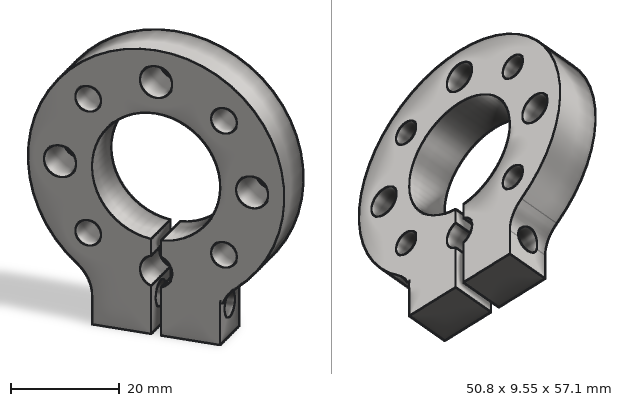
import cadquery as cq
import math

height = 57.1
disc_diameter = 50.75
thickness = 9.55
bore_diameter = 25.35
tab_width = 25.35
fillet_radius = 7.6
slit_width = 1.95
bolt_circle_radius = 19.0
large_hole_diameter = 6.35
small_hole_diameter = 5.1
clamp_hole_diameter = 5.1
clamp_hole_height = 6.35
spotface_diameter = 10.4

disc_radius = disc_diameter / 2
half_tab = tab_width / 2
tab_bottom = disc_radius - height
clamp_hole_z = tab_bottom + clamp_hole_height

fillet_x = half_tab + fillet_radius
fillet_z = -math.sqrt((disc_radius + fillet_radius) ** 2 - fillet_x ** 2)

tangent_ratio = disc_radius / (disc_radius + fillet_radius)
tangent_x = fillet_x * tangent_ratio
tangent_z = fillet_z * tangent_ratio

fillet_half_angle = math.atan2(-fillet_z, fillet_x) / 2
fillet_mid_x = fillet_x - fillet_radius * math.cos(fillet_half_angle)
fillet_mid_z = fillet_z + fillet_radius * math.sin(fillet_half_angle)


def clamp_plate():
    """Disc blended into the clamping tab below it."""
    return (
        cq.Workplane("XZ")
        .moveTo(-half_tab, tab_bottom)
        .lineTo(half_tab, tab_bottom)
        .lineTo(half_tab, fillet_z)
        .threePointArc((fillet_mid_x, fillet_mid_z), (tangent_x, tangent_z))
        .threePointArc((0, disc_radius), (-tangent_x, tangent_z))
        .threePointArc((-fillet_mid_x, fillet_mid_z), (-half_tab, fillet_z))
        .close()
        .extrude(thickness / 2, both=True)
    )


def bore():
    return cq.Workplane("XZ").circle(bore_diameter / 2).extrude(thickness / 2, both=True)


def bolt_holes(diameter, start_angle):
    """Four through holes evenly spaced on the bolt circle."""
    return (
        cq.Workplane("XZ")
        .polarArray(bolt_circle_radius, start_angle, 360, 4)
        .circle(diameter / 2)
        .extrude(thickness / 2, both=True)
    )


def slit():
    """Gap from the bore to the lower end of the tab."""
    return (
        cq.Workplane("XY", origin=(0, 0, tab_bottom))
        .rect(slit_width, thickness)
        .extrude(-tab_bottom)
    )


def clamp_hole():
    """Screw hole across both halves of the tab."""
    return (
        cq.Workplane("YZ", origin=(0, 0, clamp_hole_z))
        .circle(clamp_hole_diameter / 2)
        .extrude(disc_radius, both=True)
    )


def spotface():
    """Screw seat cut into the right-hand fillet, flush with the tab side."""
    return (
        cq.Workplane("YZ", origin=(half_tab, 0, clamp_hole_z))
        .circle(spotface_diameter / 2)
        .extrude(disc_radius - half_tab)
    )


result = (
    clamp_plate()
    .cut(bore())
    .cut(bolt_holes(large_hole_diameter, 0))
    .cut(bolt_holes(small_hole_diameter, 45))
    .cut(slit())
    .cut(clamp_hole())
    .cut(spotface())
)